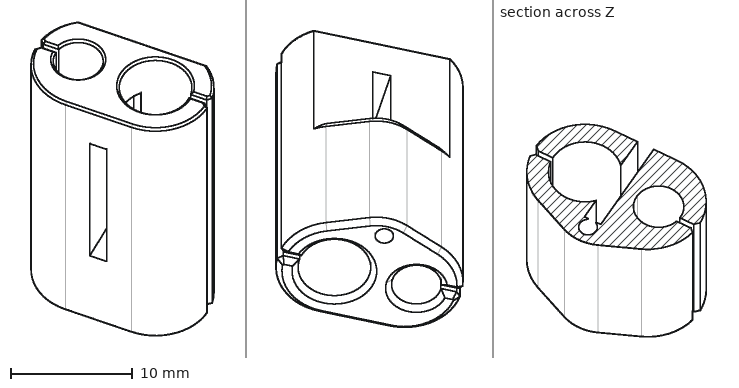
import cadquery as cq
import math

HEIGHT = 26.0
END_RADIUS = 4.8
END_OFFSET = 3.0
BACK_Y = 3.9
TOP_CHAMFER = 0.2
BOTTOM_CHAMFER = 0.5

LUG_HEIGHT = 14.0
LUG_RADIUS = 4.0
LUG_CENTRE_Y = 2.18
LUG_CHAMFER_HEIGHT = 1.0
LUG_CHAMFER_WIDTH = 0.5

SMALL_BORE_X = -4.0
SMALL_BORE_DIAMETER = 4.1
LARGE_BORE_X = END_OFFSET
LARGE_BORE_DIAMETER = 5.98
SLIT_WIDTH = 0.4
SLIT_Y = 0.3
SLIT_CHAMFER = 0.42

PIN_DIAMETER = 1.5
PIN_Y = 4.68
WINDOW_BOTTOM = 8.16
WINDOW_TOP = 22.02

FAR = 2 * HEIGHT


def tangent_angle():
    """Angle from Y of the normal shared by the lug arc and an end arc."""
    centre_distance = math.hypot(END_OFFSET, LUG_CENTRE_Y)
    centre_angle = math.atan2(LUG_CENTRE_Y, END_OFFSET)
    return centre_angle - math.asin((END_RADIUS - LUG_RADIUS) / centre_distance)


def full_outline():
    """Closed outline of the body and lug together."""
    angle = tangent_angle()
    sine = math.sin(angle)
    cosine = math.cos(angle)
    end_x = END_OFFSET + END_RADIUS * sine
    end_y = END_RADIUS * cosine
    lug_x = LUG_RADIUS * sine
    lug_y = LUG_CENTRE_Y + LUG_RADIUS * cosine
    middle_x = END_OFFSET + END_RADIUS * math.cos(angle / 2)
    middle_y = -END_RADIUS * math.sin(angle / 2)
    return (
        cq.Workplane("XY")
        .moveTo(-END_OFFSET, -END_RADIUS)
        .lineTo(END_OFFSET, -END_RADIUS)
        .threePointArc((middle_x, middle_y), (end_x, end_y))
        .lineTo(lug_x, lug_y)
        .threePointArc((0, LUG_CENTRE_Y + LUG_RADIUS), (-lug_x, lug_y))
        .lineTo(-end_x, end_y)
        .threePointArc((-middle_x, middle_y), (-END_OFFSET, -END_RADIUS))
        .close()
    )


def behind_back(height):
    """Block covering everything behind the back face up to a height."""
    return (
        cq.Workplane("XY", origin=(0, BACK_Y, 0))
        .rect(FAR, FAR)
        .extrude(height)
        .translate((0, FAR / 2, 0))
    )


def lug():
    """Lower rear part, with a steep chamfer around its top."""
    blank = full_outline().extrude(LUG_HEIGHT)
    blank = blank.faces(">Z").chamfer(LUG_CHAMFER_HEIGHT, LUG_CHAMFER_WIDTH)
    return blank.intersect(behind_back(LUG_HEIGHT))


def cut_slit(body, side):
    """Open one bore to the outside, with bevelled outer lips."""
    slit = (
        cq.Workplane("XY")
        .center(side * FAR / 2 + side * END_OFFSET, SLIT_Y)
        .rect(FAR, SLIT_WIDTH)
        .extrude(HEIGHT)
    )
    lip_x = side * (END_OFFSET + END_RADIUS)
    half_mouth = SLIT_CHAMFER + SLIT_WIDTH / 2
    root_x = lip_x - side * half_mouth
    mouth = (
        cq.Workplane("XY")
        .polyline([
            (root_x, SLIT_Y),
            (lip_x, SLIT_Y - half_mouth),
            (lip_x, SLIT_Y + half_mouth),
        ])
        .close()
        .extrude(HEIGHT)
    )
    return body.cut(slit).cut(mouth)


def split_bar():
    """Full outline over the whole height, with both bores slit open."""
    bar = full_outline().extrude(HEIGHT)
    for x, diameter in (
        (SMALL_BORE_X, SMALL_BORE_DIAMETER),
        (LARGE_BORE_X, LARGE_BORE_DIAMETER),
    ):
        bore = cq.Workplane("XY").center(x, 0).circle(diameter / 2).extrude(HEIGHT)
        bar = bar.cut(bore)
    for side in (-1, 1):
        bar = cut_slit(bar, side)
    return bar


def main_body(bar):
    """Bar with a flat back, chamfered along every top edge."""
    return bar.cut(behind_back(HEIGHT)).faces(">Z").chamfer(TOP_CHAMFER)


def pin_hole():
    """Vertical hole through the height of the lug."""
    return cq.Workplane("XY").center(0, PIN_Y).circle(PIN_DIAMETER / 2).extrude(LUG_HEIGHT)


def window():
    """Slot through the main body, closed by the lug over its lower part."""
    depth = BACK_Y + END_RADIUS
    return cq.Workplane("XY").box(
        PIN_DIAMETER, depth, WINDOW_TOP - WINDOW_BOTTOM, centered=(True, False, False)
    ).translate((0, -END_RADIUS, WINDOW_BOTTOM))


bar = split_bar()
bottom_envelope = bar.faces("<Z").chamfer(BOTTOM_CHAMFER)
result = main_body(bar).union(lug()).intersect(bottom_envelope)
result = result.cut(pin_hole()).cut(window())